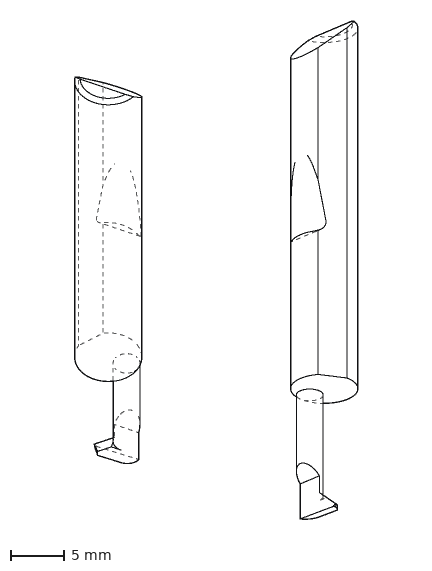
import cadquery as cq
import math

total_length = 50.8
shank_diameter = 6.35
shank_radius = shank_diameter / 2
shank_bottom = 12.7
chamfer_width = 0.5
chamfer_height = 0.35
bevel_start_y = -1.25
flat_distance = 2.85
flat_direction = 150.0

notch_bottom = 27.75
notch_top = 36.4
notch_angle = 9.0
notch_radius = 1.0

neck_diameter = 2.55
neck_radius = neck_diameter / 2
neck_center_x = shank_radius - neck_radius
relief_start = 3.8

head_height = 2.1
tip_x = -1.45
tip_height = 0.2
tip_base_x = -1.15
flank_top_x = 0.65
flank_relief = 0.25
tip_relief_x = 0.95
bottom_relief = 0.25
bottom_tilt = 2.0

margin = 2.55


def side_prism(sketch_points):
    """Prism of a (Y, Z) outline, running through the whole width in X."""
    return cq.Workplane("YZ").polyline(sketch_points).close().extrude(shank_diameter, both=True)


def make_shank():
    shank_profile = [
        (0, shank_bottom),
        (shank_radius, shank_bottom),
        (shank_radius, total_length - chamfer_height),
        (shank_radius - chamfer_width, total_length),
        (0, total_length),
    ]
    shank = cq.Workplane("XZ").polyline(shank_profile).close().revolve(360, (0, 0), (0, 1))
    side_flat = (
        cq.Workplane("XY")
        .box(margin, 2 * shank_diameter, total_length + margin, centered=(False, True, False))
        .translate((flat_distance, 0, 0))
        .rotate((0, 0, 0), (0, 0, 1), flat_direction)
    )
    bevel_run = shank_radius + margin - bevel_start_y
    end_bevel = side_prism([
        (bevel_start_y, total_length),
        (bevel_start_y + bevel_run, total_length),
        (bevel_start_y + bevel_run, total_length - bevel_run),
    ])
    return shank.cut(side_flat).cut(end_bevel).cut(make_notch())


def make_notch():
    notch_depth = (notch_top - notch_bottom) * math.tan(math.radians(notch_angle))
    notch = side_prism([
        (shank_radius, notch_top),
        (shank_radius - notch_depth, notch_bottom),
        (shank_radius + margin, notch_bottom),
        (shank_radius + margin, notch_top),
    ])
    return notch.edges("|X").edges("<Y").fillet(notch_radius)


def make_neck():
    neck = cq.Workplane("XY").center(neck_center_x, 0).circle(neck_radius).extrude(shank_bottom)
    half_cut = side_prism([
        (0, -margin),
        (0, relief_start),
        (margin, relief_start + margin),
        (margin, -margin),
    ])
    return neck.cut(half_cut)


def make_head():
    """Hook from the cutting face at Y = 0 to a smaller outline at the front of the neck."""
    cutting_face = [
        (tip_base_x, 0),
        (neck_center_x, 0),
        (neck_center_x, head_height),
        (flank_top_x, head_height),
        (tip_x, tip_height),
    ]
    front_face = [
        (tip_base_x + flank_relief, 0),
        (neck_center_x, 0),
        (neck_center_x, head_height),
        (flank_top_x + flank_relief, head_height),
        (tip_x + flank_relief, tip_height),
    ]
    head = (
        cq.Workplane("XZ")
        .polyline(cutting_face).close()
        .workplane(offset=neck_radius)
        .polyline(front_face).close()
        .loft(ruled=True)
    )
    tip_clearance = (
        cq.Workplane("XY")
        .polyline([(tip_x, 0), (tip_x + tip_relief_x, -neck_radius), (tip_x, -neck_radius)])
        .close()
        .extrude(head_height)
    )
    return head.cut(tip_clearance)


def make_bottom_clearance():
    """Space under the underside, which rises from the tip toward -Y and +X."""
    clearance = side_prism([
        (0, 0),
        (-neck_radius, bottom_relief),
        (-neck_radius, -margin),
        (0, -margin),
    ])
    return clearance.rotate((tip_base_x, 0, 0), (tip_base_x, 1, 0), -bottom_tilt)


result = make_shank().union(make_neck().union(make_head()).cut(make_bottom_clearance()))